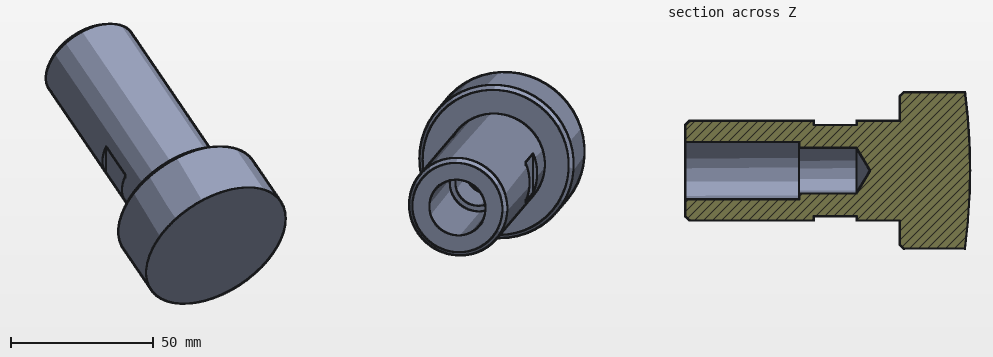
import cadquery as cq
import math

total_length = 99.8
shank_length = 75.0
head_rim_end = 98.0

head_diameter = 55.0
shank_diameter = 35.0
bore_diameter = 20.0
pilot_diameter = 16.0

chamfer = 1.5
bore_depth = 39.9
pilot_depth = 59.9
drill_point_angle = 118.0

flat_start = 45.0
flat_length = 15.0
across_flats = 32.0

head_radius = head_diameter / 2
shank_radius = shank_diameter / 2
bore_radius = bore_diameter / 2
pilot_radius = pilot_diameter / 2


def make_body():
    """Revolve the chamfered shank and the head with its domed end face."""
    crown = total_length - head_rim_end
    dome_radius = (head_radius**2 + crown**2) / (2 * crown)
    mid_height = head_radius / 2
    mid_x = total_length - dome_radius + math.sqrt(dome_radius**2 - mid_height**2)
    return (
        cq.Workplane("XY")
        .moveTo(0, 0)
        .lineTo(0, shank_radius - chamfer)
        .lineTo(chamfer, shank_radius)
        .lineTo(shank_length, shank_radius)
        .lineTo(shank_length, head_radius - chamfer)
        .lineTo(shank_length + chamfer, head_radius)
        .lineTo(head_rim_end, head_radius)
        .threePointArc((mid_x, mid_height), (total_length, 0))
        .close()
        .revolve(360, (0, 0, 0), (1, 0, 0))
    )


def make_bore():
    """Stepped blind bore from the shank end, closed by a conical drill point."""
    point_length = pilot_radius / math.tan(math.radians(drill_point_angle / 2))
    return (
        cq.Workplane("XY")
        .moveTo(0, 0)
        .lineTo(0, bore_radius)
        .lineTo(bore_depth, bore_radius)
        .lineTo(bore_depth, pilot_radius)
        .lineTo(pilot_depth, pilot_radius)
        .lineTo(pilot_depth + point_length, 0)
        .close()
        .revolve(360, (0, 0, 0), (1, 0, 0))
    )


def make_flat_cutter(side):
    """Block that mills one flat; side is -1 for -Y and +1 for +Y."""
    center_x = flat_start + flat_length / 2
    center_y = side * (across_flats + shank_diameter) / 2
    return (
        cq.Workplane("XY")
        .box(flat_length, shank_diameter, shank_diameter)
        .translate((center_x, center_y, 0))
    )


result = make_body().cut(make_bore())
for side in (-1, 1):
    result = result.cut(make_flat_cutter(side))